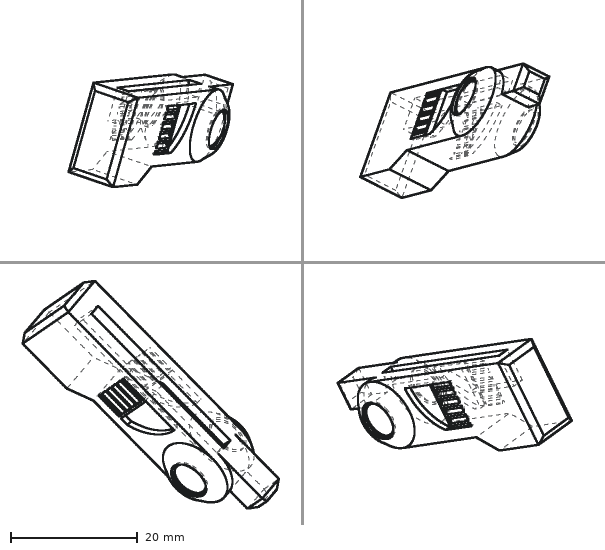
import cadquery as cq
import math

TILT = 35.0
SLOPE = math.tan(math.radians(TILT))

BODY_WIDTH = 7.95
PIVOT_RADIUS = 6.0
HEAD_LENGTH = 34.0
HEAD_STEP_START = 18.9
HEAD_BOTTOM = -8.8
END_CHAMFER = 1.0

TAIL_WIDTH = 5.0
TAIL_LENGTH = 10.9
TAIL_THICKNESS = 4.8

SLOT_WIDTH = 2.0
SLOT_LENGTH = 30.0
SLOT_SHALLOW_DEPTH = 2.2
SLOT_DEEP_DEPTH = 5.5
SLOT_STEP_START = 13.7

CAP_HEIGHT = 2.0
CAP_ROUND = 1.5
RECESS_RADIUS = 3.25
RECESS_DEPTH = 0.5
DOME_RADIUS = 2.85
OVERALL_WIDTH = 12.9
DOME_REACH = OVERALL_WIDTH / 2

GRIP_HALF_HEIGHT = 4.0
POCKET_DEPTH = 1.0
POCKET_START = 7.6
POCKET_END = 14.02
POCKET_ARC_RADIUS = 9.0
RIB_START = 14.45
RIB_LENGTH = 4.6
RIB_COUNT = 5
RIB_DEPTH = 0.5
RIB_PITCH = 2 * GRIP_HALF_HEIGHT / RIB_COUNT
RIB_TOP = RIB_PITCH / 4

HALF_WIDTH = BODY_WIDTH / 2


def side_plane(across):
    """Sketch plane at a given X: local x runs along the arm, local y is height."""
    return cq.Workplane(cq.Plane(origin=(across, 0, 0), xDir=(0, -1, 0), normal=(-1, 0, 0)))


def make_body():
    step_drop = -PIVOT_RADIUS - HEAD_BOTTOM
    body = (
        side_plane(HALF_WIDTH)
        .moveTo(0, PIVOT_RADIUS)
        .lineTo(HEAD_LENGTH, PIVOT_RADIUS)
        .lineTo(HEAD_LENGTH, HEAD_BOTTOM)
        .lineTo(HEAD_STEP_START + step_drop / SLOPE, HEAD_BOTTOM)
        .lineTo(HEAD_STEP_START, -PIVOT_RADIUS)
        .lineTo(0, -PIVOT_RADIUS)
        .threePointArc((-PIVOT_RADIUS, 0), (0, PIVOT_RADIUS))
        .close()
        .extrude(BODY_WIDTH)
    )
    return body.faces("<Y").chamfer(END_CHAMFER)


def make_tail():
    centred = (True, False, False)
    tail = cq.Workplane("XY").box(TAIL_WIDTH, TAIL_LENGTH, TAIL_THICKNESS, centered=centred)
    tail = tail.faces(">Y").chamfer(END_CHAMFER)
    return tail.translate((0, 0, PIVOT_RADIUS - TAIL_THICKNESS))


def make_slot():
    """Slot with a shallow floor that ramps down to a deeper one."""
    shallow_floor = PIVOT_RADIUS - SLOT_SHALLOW_DEPTH
    deep_floor = PIVOT_RADIUS - SLOT_DEEP_DEPTH
    ramp_length = (shallow_floor - deep_floor) / SLOPE
    return (
        side_plane(SLOT_WIDTH / 2)
        .moveTo(0, PIVOT_RADIUS)
        .lineTo(0, shallow_floor)
        .lineTo(SLOT_STEP_START, shallow_floor)
        .lineTo(SLOT_STEP_START + ramp_length, deep_floor)
        .lineTo(SLOT_LENGTH, deep_floor)
        .lineTo(SLOT_LENGTH, PIVOT_RADIUS)
        .close()
        .extrude(SLOT_WIDTH)
    )


def make_cap():
    """Cap on the -X side: 45 degree cone, rounded rim, recess and a central dome."""
    cap_face = HALF_WIDTH + CAP_HEIGHT
    rim_radius = PIVOT_RADIUS - CAP_HEIGHT
    cone_angle = math.radians(45)
    half_angle = cone_angle / 2

    round_inner = rim_radius - CAP_ROUND * math.tan(half_angle)
    round_outer = round_inner + CAP_ROUND * math.sin(cone_angle)
    round_drop = CAP_ROUND * (1 - math.cos(cone_angle))
    round_mid = (
        round_inner + CAP_ROUND * math.sin(half_angle),
        cap_face - CAP_ROUND * (1 - math.cos(half_angle)),
    )

    recess_floor = cap_face - RECESS_DEPTH
    dome_rise = DOME_REACH - recess_floor
    dome_sphere = (DOME_RADIUS**2 + dome_rise**2) / (2 * dome_rise)
    dome_mid = DOME_RADIUS / 2
    dome_mid_reach = DOME_REACH - dome_sphere + math.sqrt(dome_sphere**2 - dome_mid**2)

    section = cq.Workplane(cq.Plane(origin=(0, 0, 0), xDir=(0, -1, 0), normal=(0, 0, -1)))
    return (
        section.moveTo(0, 0)
        .lineTo(PIVOT_RADIUS, 0)
        .lineTo(PIVOT_RADIUS, HALF_WIDTH)
        .lineTo(round_outer, cap_face - round_drop)
        .threePointArc(round_mid, (round_inner, cap_face))
        .lineTo(RECESS_RADIUS, cap_face)
        .lineTo(RECESS_RADIUS, recess_floor)
        .lineTo(DOME_RADIUS, recess_floor)
        .threePointArc((dome_mid, dome_mid_reach), (0, DOME_REACH))
        .close()
        .revolve(360, (0, 0, 0), (0, 1, 0))
    )


def make_thumb_pocket():
    """Pocket on the -X side with one curved edge facing the pivot."""
    centre = POCKET_START + POCKET_ARC_RADIUS

    def arc_along(height):
        return centre - math.sqrt(POCKET_ARC_RADIUS**2 - (GRIP_HALF_HEIGHT - height) ** 2)

    return (
        side_plane(POCKET_DEPTH - HALF_WIDTH)
        .moveTo(POCKET_START, GRIP_HALF_HEIGHT)
        .lineTo(POCKET_END, GRIP_HALF_HEIGHT)
        .lineTo(POCKET_END, -GRIP_HALF_HEIGHT)
        .lineTo(arc_along(-GRIP_HALF_HEIGHT), -GRIP_HALF_HEIGHT)
        .threePointArc((arc_along(0), 0), (POCKET_START, GRIP_HALF_HEIGHT))
        .close()
        .extrude(POCKET_DEPTH)
    )


def make_rib_grooves():
    """Space between the trapezoidal ribs on the -X side, whose tops are flush with the body."""
    floor = RIB_DEPTH - HALF_WIDTH
    flank = (RIB_PITCH - RIB_TOP) / 2
    middle = (floor - RIB_DEPTH / 2, -RIB_START - RIB_LENGTH / 2, 0)
    grooves = cq.Workplane("XY").box(RIB_DEPTH, RIB_LENGTH, 2 * GRIP_HALF_HEIGHT).translate(middle)
    for index in range(RIB_COUNT):
        top = GRIP_HALF_HEIGHT - index * RIB_PITCH
        rib = (
            cq.Workplane("XZ", origin=(0, -RIB_START, 0))
            .moveTo(floor, top)
            .lineTo(-HALF_WIDTH, top - flank)
            .lineTo(-HALF_WIDTH, top - flank - RIB_TOP)
            .lineTo(floor, top - RIB_PITCH)
            .close()
            .extrude(RIB_LENGTH)
        )
        grooves = grooves.cut(rib)
    return grooves


def both_sides(shape):
    return shape.union(shape.mirror("YZ"))


lever = make_body().union(make_tail()).union(both_sides(make_cap()))
lever = lever.cut(make_slot())
lever = lever.cut(both_sides(make_thumb_pocket())).cut(both_sides(make_rib_grooves()))
result = lever.rotate((0, 0, 0), (1, 0, 0), -TILT)